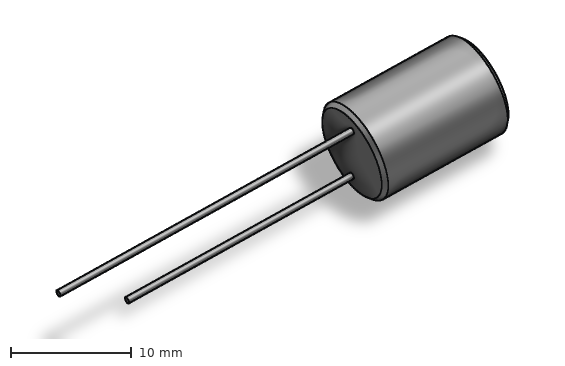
import cadquery as cq

body_diameter = 9.2
body_length = 13.0
edge_chamfer = 0.4
overall_length = 43.0

lead_diameter = 0.6
lead_spacing = 5.75
long_lead = overall_length - body_length
short_lead = 23.0


def rod_toward_front(diameter, length, height):
    """Cylinder running from the body's front face (Y = 0) to -Y at Z = height."""
    return cq.Workplane("XZ").center(0, height).circle(diameter / 2).extrude(length)


def make_body():
    """Cylinder behind Y = 0 with both end rims chamfered."""
    cylinder = cq.Workplane("XZ").circle(body_diameter / 2).extrude(-body_length)
    return cylinder.faces("<Y or >Y").edges().chamfer(edge_chamfer)


upper_lead = rod_toward_front(lead_diameter, long_lead, lead_spacing / 2)
lower_lead = rod_toward_front(lead_diameter, short_lead, -lead_spacing / 2)

result = make_body().union(upper_lead).union(lower_lead)